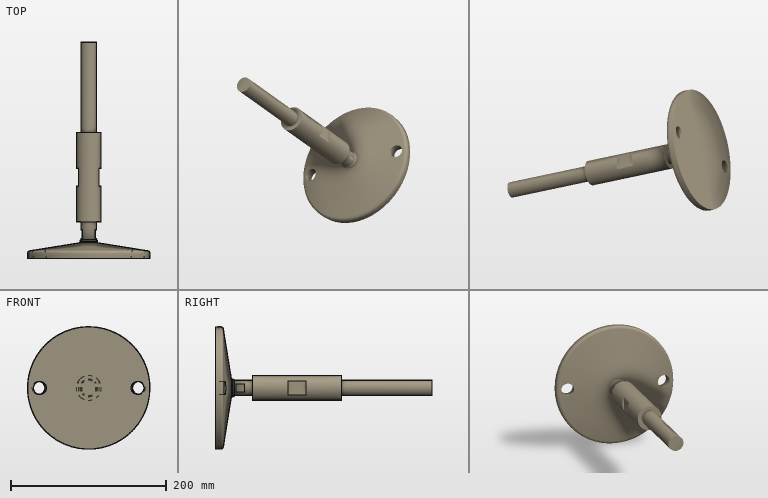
import cadquery as cq
import math

TOTAL_LENGTH = 279.0

PLATE_DIAMETER = 158.0
FACE_INSET = 0.3
RIM_TAPER_TOP = 4.2
RIM_TOP = 9.8
RIM_FILLET = 3.5
HUB_HEIGHT = 20.6
HUB_RADIUS = 11.2

HOLE_DIAMETER = 16.5
HOLE_OFFSET = 62.8
DRILL_OVERRUN = 14.0

ROD_DIAMETER = 20.0
COLLAR_DIAMETER = 23.0
COLLAR_SEAT_DIAMETER = 21.2
COLLAR_LAND_START = 22.0
COLLAR_LAND_END = 23.0
COLLAR_TOP = 24.8
SLEEVE_DIAMETER = 32.0
SLEEVE_START = 47.5
SLEEVE_LENGTH = 115.2

ROD_FLAT_WIDTH = 17.3
ROD_FLAT_START = 26.2
ROD_FLAT_LENGTH = 11.0
SLEEVE_FLAT_WIDTH = 26.8
SLEEVE_FLAT_LENGTH = 23.0

PLATE_RADIUS = PLATE_DIAMETER / 2
ROD_RADIUS = ROD_DIAMETER / 2
SLEEVE_RADIUS = SLEEVE_DIAMETER / 2
SLEEVE_END = SLEEVE_START + SLEEVE_LENGTH
CONE_ANGLE = math.atan2(HUB_HEIGHT - RIM_TOP, PLATE_RADIUS - HUB_RADIUS)


def revolve_about_y(points):
    """Turn a closed (radius, y) outline into a solid about the Y axis."""
    return cq.Workplane("XY").polyline(points).close().revolve(360, (0, 0, 0), (0, 1, 0))


def fixing_hole(side):
    """Drill through the plate, leaning away from the axis; side is -1 or +1 along X."""
    direction = cq.Vector(side * math.sin(CONE_ANGLE), math.cos(CONE_ANGLE), 0)
    start = cq.Vector(side * HOLE_OFFSET, 0, 0) - direction * DRILL_OVERRUN
    length = HUB_HEIGHT + 2 * DRILL_OVERRUN
    return cq.Solid.makeCylinder(HOLE_DIAMETER / 2, length, start, direction)


def make_plate():
    """Conical foot plate with a slightly tapered rim and two fixing holes."""
    plate = revolve_about_y([
        (0, 0),
        (PLATE_RADIUS - FACE_INSET, 0),
        (PLATE_RADIUS, RIM_TAPER_TOP),
        (PLATE_RADIUS, RIM_TOP),
        (HUB_RADIUS, HUB_HEIGHT),
        (0, HUB_HEIGHT),
    ])
    rim_edge = cq.selectors.NearestToPointSelector((0, RIM_TOP, 0))
    plate = plate.edges("%CIRCLE").edges(rim_edge).fillet(RIM_FILLET)
    for side in (-1, 1):
        plate = plate.cut(cq.Workplane(fixing_hole(side)))
    return plate


def cut_flats(body, diameter, width, start, length):
    """Cut a pair of wrench flats, with their faces square to X."""
    depth = (diameter - width) / 2
    for side in (-1, 1):
        cutter = cq.Workplane("XY").box(2 * depth, length, diameter)
        body = body.cut(cutter.translate((side * (width / 2 + depth), start + length / 2, 0)))
    return body


def make_spindle():
    """Rod with a seating collar, a thick sleeve section and two pairs of wrench flats."""
    spindle = revolve_about_y([
        (0, HUB_HEIGHT),
        (COLLAR_SEAT_DIAMETER / 2, HUB_HEIGHT),
        (COLLAR_DIAMETER / 2, COLLAR_LAND_START),
        (COLLAR_DIAMETER / 2, COLLAR_LAND_END),
        (ROD_RADIUS, COLLAR_TOP),
        (ROD_RADIUS, SLEEVE_START),
        (SLEEVE_RADIUS, SLEEVE_START),
        (SLEEVE_RADIUS, SLEEVE_END),
        (ROD_RADIUS, SLEEVE_END),
        (ROD_RADIUS, TOTAL_LENGTH),
        (0, TOTAL_LENGTH),
    ])
    spindle = cut_flats(spindle, ROD_DIAMETER, ROD_FLAT_WIDTH, ROD_FLAT_START, ROD_FLAT_LENGTH)
    sleeve_flat_start = SLEEVE_START + (SLEEVE_LENGTH - SLEEVE_FLAT_LENGTH) / 2
    return cut_flats(
        spindle, SLEEVE_DIAMETER, SLEEVE_FLAT_WIDTH, sleeve_flat_start, SLEEVE_FLAT_LENGTH
    )


plate = make_plate()
spindle = make_spindle()
result = cq.Compound.makeCompound([plate.solids().val(), spindle.solids().val()])